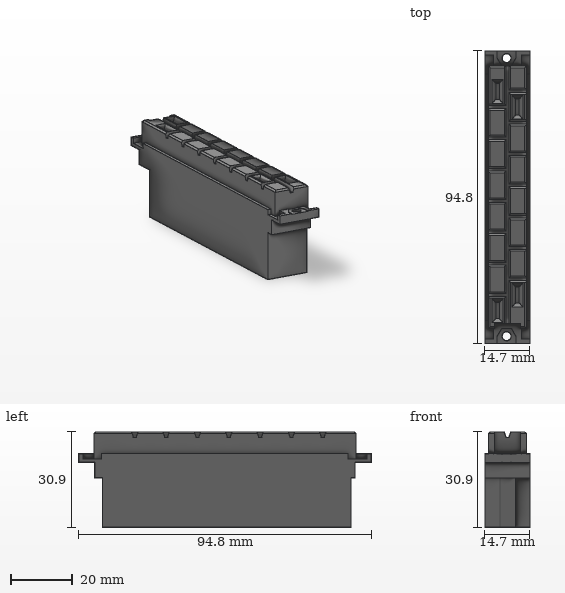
import cadquery as cq

LENGTH = 94.75
WIDTH = 14.7
FLANGE_BOTTOM = 21.0
FLANGE_TOP = 23.9
HALF_LENGTH = LENGTH / 2
HALF_WIDTH = WIDTH / 2

SHOULDER_LENGTH = 84.3
SHOULDER_BOTTOM = 16.0
BODY_BACK = 39.7
BODY_FRONT = -40.8
SLANT_START_X = -2.5
SLANT_END_X = 2.7
SLANT_DEPTH = 1.2
FRONT_STEP_DEPTH = 5.1

TOWER_LENGTH = 84.9
TOWER_WIDTH = 12.3
TOWER_TOP = 30.9
TOWER_CHAMFER = 0.6
FRONT_RECESS_WIDTH = 8.3
FRONT_RECESS_DEPTH = 1.6

GROOVE_TOP_WIDTH = 2.1
GROOVE_FLOOR_WIDTH = 0.9
GROOVE_DEPTH = 1.7
PITCH = 10.1
HALF_PITCH = PITCH / 2
GROOVES_PER_COLUMN = 7
GROOVE_SPAN = (GROOVES_PER_COLUMN - 1) * PITCH
LEFT_FIRST_Y = 29.2
RIGHT_FIRST_Y = LEFT_FIRST_Y + HALF_PITCH

SOCKET_X = 3.2
SOCKET_MOUTH = (3.5, 7.8)
SOCKET_FLOOR = (1.1, 5.1)
SOCKET_DEPTH = 1.5

HOLE_DIAMETER = 2.8
HOLE_X = -0.3
HOLE_Y = 45.0
SEAT_HALF_WIDTH = 3.0
SEAT_TIP_HALF_WIDTH = 1.5
SEAT_TIP_Y = TOWER_LENGTH / 2
SEAT_DEPTH = 0.2
POCKET_WIDTH = 2.8
POCKET_INNER_Y = 39.9
POCKET_OUTER_Y = 46.0
POCKET_FLOOR = 22.2


def block(x_range, y_range, z_range):
    """Axis-aligned box given by its limits along each axis."""
    (x0, x1), (y0, y1), (z0, z1) = x_range, y_range, z_range
    return cq.Workplane("XY").box(x1 - x0, y1 - y0, z1 - z0, centered=False).translate((x0, y0, z0))


def lower_body():
    """Deep body with a flat back and a front face that slants and steps back towards +X."""
    outline = [
        (-HALF_WIDTH, BODY_BACK),
        (-HALF_WIDTH, BODY_FRONT),
        (SLANT_START_X, BODY_FRONT),
        (SLANT_END_X, BODY_FRONT + SLANT_DEPTH),
        (SLANT_END_X, BODY_FRONT + FRONT_STEP_DEPTH),
        (HALF_WIDTH, BODY_FRONT + FRONT_STEP_DEPTH),
        (HALF_WIDTH, BODY_BACK),
    ]
    deep_part = cq.Workplane("XY").polyline(outline).close().extrude(SHOULDER_BOTTOM)
    half_shoulder = SHOULDER_LENGTH / 2
    shoulder = block(
        (-HALF_WIDTH, HALF_WIDTH), (-half_shoulder, half_shoulder), (SHOULDER_BOTTOM, FLANGE_BOTTOM)
    )
    return deep_part.union(shoulder)


def flange():
    """Mounting plate with two corner pockets, a shallow seat and a screw hole at each end."""
    plate = block((-HALF_WIDTH, HALF_WIDTH), (-HALF_LENGTH, HALF_LENGTH), (FLANGE_BOTTOM, FLANGE_TOP))
    pocket = block(
        (HALF_WIDTH - POCKET_WIDTH, HALF_WIDTH),
        (POCKET_INNER_Y, POCKET_OUTER_Y),
        (POCKET_FLOOR, FLANGE_TOP),
    )
    pockets = pocket.union(pocket.mirror("YZ"))
    seat_outline = [
        (HOLE_X - SEAT_HALF_WIDTH, HALF_LENGTH),
        (HOLE_X - SEAT_HALF_WIDTH, HOLE_Y),
        (HOLE_X - SEAT_TIP_HALF_WIDTH, SEAT_TIP_Y),
        (HOLE_X + SEAT_TIP_HALF_WIDTH, SEAT_TIP_Y),
        (HOLE_X + SEAT_HALF_WIDTH, HOLE_Y),
        (HOLE_X + SEAT_HALF_WIDTH, HALF_LENGTH),
    ]
    top_plane = cq.Workplane("XY").workplane(offset=FLANGE_TOP)
    seat = top_plane.polyline(seat_outline).close().extrude(-SEAT_DEPTH)
    hole = top_plane.center(HOLE_X, HOLE_Y).circle(HOLE_DIAMETER / 2).extrude(FLANGE_BOTTOM - FLANGE_TOP)
    end_cut = pockets.union(seat).union(hole)
    return plate.cut(end_cut).cut(end_cut.mirror("XZ"))


def tower():
    """Raised bar with a chamfered top rim and a recess in its front end."""
    half_length = TOWER_LENGTH / 2
    half_width = TOWER_WIDTH / 2
    bar = block((-half_width, half_width), (-half_length, half_length), (POCKET_FLOOR, TOWER_TOP))
    bar = bar.faces(">Z").chamfer(TOWER_CHAMFER)
    half_recess = FRONT_RECESS_WIDTH / 2
    recess = block(
        (-half_recess, half_recess),
        (-half_length, -half_length + FRONT_RECESS_DEPTH),
        (FLANGE_TOP, TOWER_TOP),
    )
    return bar.cut(recess)


def groove_profile(plane):
    """Trapezoid of a groove, drawn on a vertical plane and centred on its origin."""
    floor_z = TOWER_TOP - GROOVE_DEPTH
    outline = [
        (-GROOVE_TOP_WIDTH / 2, TOWER_TOP),
        (-GROOVE_FLOOR_WIDTH / 2, floor_z),
        (GROOVE_FLOOR_WIDTH / 2, floor_z),
        (GROOVE_TOP_WIDTH / 2, TOWER_TOP),
    ]
    return cq.Workplane(plane).polyline(outline).close()


def grooves():
    """Long groove between the two columns, and cross grooves staggered by half a pitch."""
    cuts = groove_profile("XZ").extrude(HALF_LENGTH, both=True)
    cross_groove = groove_profile("YZ").extrude(HALF_WIDTH)
    for i in range(GROOVES_PER_COLUMN):
        cuts = cuts.union(cross_groove.translate((-HALF_WIDTH, LEFT_FIRST_Y - i * PITCH, 0)))
        cuts = cuts.union(cross_groove.translate((0, RIGHT_FIRST_Y - i * PITCH, 0)))
    return cuts


def socket(x, y):
    """Funnel-shaped socket, open at the top of the tower."""
    mouth = cq.Workplane("XY").workplane(offset=TOWER_TOP).center(x, y).rect(*SOCKET_MOUTH)
    return mouth.workplane(offset=-SOCKET_DEPTH).rect(*SOCKET_FLOOR).loft(ruled=True)


result = lower_body().union(flange()).union(tower()).cut(grooves())

socket_positions = [
    (-SOCKET_X, LEFT_FIRST_Y + HALF_PITCH),
    (-SOCKET_X, LEFT_FIRST_Y - GROOVE_SPAN - HALF_PITCH),
    (SOCKET_X, RIGHT_FIRST_Y - HALF_PITCH),
    (SOCKET_X, RIGHT_FIRST_Y - GROOVE_SPAN - HALF_PITCH),
]
for socket_x, socket_y in socket_positions:
    result = result.cut(socket(socket_x, socket_y))